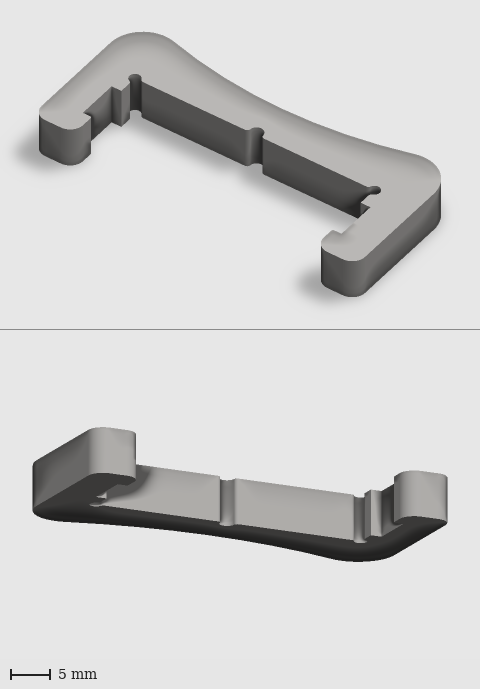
import cadquery as cq
import math

length = 50.0
depth = 21.9
thickness = 6.0

shoulder_radius = 5.0
waist_y = 19.1
foot_radius = 2.0

inner_y = 13.1
step_x = 18.5
step_y = 10.15
recess_x = 20.0
lip_x = 18.6
lip_y = 3.9
lip_edge_radius = 0.25

corner_relief_radius = 0.85
center_notch_radius = 1.0
center_notch_rise = 0.4
notch_blend = 0.5

half_length = length / 2
shoulder_x = half_length - shoulder_radius
shoulder_y = depth - shoulder_radius
waist_rise = waist_y - shoulder_y
waist_radius = (shoulder_x**2 + waist_rise**2 - shoulder_radius**2) / (
    2 * (shoulder_radius - waist_rise)
)


def build_blank():
    """Solid plate with the rounded shoulders and concave back."""
    tangent_share = shoulder_radius / (shoulder_radius + waist_radius)
    tangent_x = shoulder_x * (1 - tangent_share)
    tangent_y = shoulder_y + tangent_share * (waist_rise + waist_radius)
    diagonal = shoulder_radius * math.sqrt(0.5)
    arc_x = shoulder_x + diagonal
    arc_y = shoulder_y + diagonal
    return (
        cq.Workplane("XY")
        .moveTo(-half_length, 0)
        .lineTo(-half_length, shoulder_y)
        .threePointArc((-arc_x, arc_y), (-tangent_x, tangent_y))
        .threePointArc((0, waist_y), (tangent_x, tangent_y))
        .threePointArc((arc_x, arc_y), (half_length, shoulder_y))
        .lineTo(half_length, 0)
        .close()
        .extrude(thickness)
    )


def build_opening():
    """Space between the arms, including the two arm recesses."""
    half_outline = [
        (lip_x, 0),
        (lip_x, lip_y),
        (recess_x, lip_y),
        (recess_x, step_y),
        (step_x, step_y),
        (step_x, inner_y),
    ]
    mirrored = [(-x, y) for x, y in reversed(half_outline)]
    return cq.Workplane("XY").polyline(half_outline + mirrored).close().extrude(thickness)


def build_notch(x, y, radius):
    return cq.Workplane("XY").center(x, y).circle(radius).extrude(thickness)


def round_edges(body, points, radius):
    """Round the vertical edges passing through the given XY points."""
    mid_height = thickness / 2
    for x, y in points:
        edge = cq.selectors.NearestToPointSelector((x, y, mid_height))
        body = body.edges("|Z").edges(edge).fillet(radius)
    return body


body = build_blank().cut(build_opening())
body = body.cut(build_notch(0, inner_y + center_notch_rise, center_notch_radius))
for side in (-1, 1):
    body = body.cut(build_notch(side * step_x, inner_y, corner_relief_radius))

center_mouth = math.sqrt(center_notch_radius**2 - center_notch_rise**2)
for side in (-1, 1):
    notch_edges = [
        (side * center_mouth, inner_y),
        (side * (step_x - corner_relief_radius), inner_y),
        (side * step_x, inner_y - corner_relief_radius),
    ]
    foot_edges = [(side * half_length, 0), (side * lip_x, 0)]
    body = round_edges(body, notch_edges, notch_blend)
    body = round_edges(body, foot_edges, foot_radius)
    body = round_edges(body, [(side * lip_x, lip_y)], lip_edge_radius)

result = body